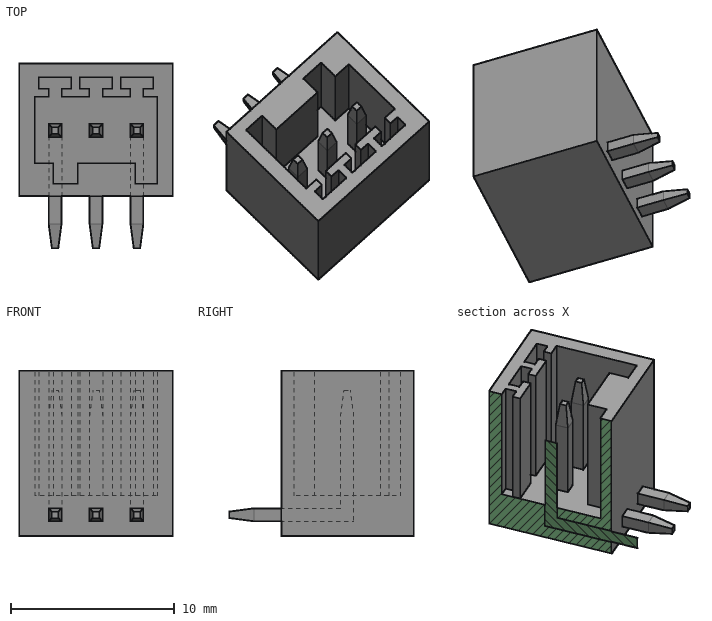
import cadquery as cq

housing_width = 9.4
housing_depth = 8.1
housing_height = 10.1
housing_front_y = -4.0
housing_back_y = housing_front_y + housing_depth
floor_height = 2.5

socket_width = 7.5
socket_front_y = housing_back_y - 6.1
socket_back_y = housing_back_y - 2.05

keyway_front_y = housing_back_y - 7.35
left_keyway_start_x = -2.6
left_keyway_end_x = -1.1
right_keyway_start_x = 2.4
right_keyway_end_x = socket_width / 2

slot_width = 2.0
slot_neck_width = 0.8
slot_back_y = housing_back_y - 0.85
slot_shoulder_y = housing_back_y - 1.55

pin_pitch = 2.5
pin_size = 0.8
pin_tip_size = 0.4
pin_taper_length = 1.5
tail_length = 3.2
tail_height = 1.3
contact_tip_height = 8.9

centre_pin_x = 0
outer_pin_xs = [-pin_pitch, pin_pitch]
pin_xs = [-pin_pitch, centre_pin_x, pin_pitch]


def recess(start_x, end_x, start_y, end_y):
    """Rectangular recess reaching from the socket floor to the top of the housing."""
    return (
        cq.Workplane("XY", origin=(start_x, start_y, floor_height))
        .box(end_x - start_x, end_y - start_y, housing_height - floor_height, centered=False)
    )


def t_slot(x):
    """Narrow neck opening from the socket into a wider chamber behind it."""
    neck = recess(x - slot_neck_width / 2, x + slot_neck_width / 2, socket_back_y, slot_shoulder_y)
    chamber = recess(x - slot_width / 2, x + slot_width / 2, slot_shoulder_y, slot_back_y)
    return neck.union(chamber)


def pin_leg(plane, straight_length):
    """Square bar along the plane normal, ending in a tapered tip."""
    bar = cq.Workplane(plane).rect(pin_size, pin_size).extrude(straight_length)
    tip = (
        cq.Workplane(plane)
        .workplane(offset=straight_length)
        .rect(pin_size, pin_size)
        .workplane(offset=pin_taper_length)
        .rect(pin_tip_size, pin_tip_size)
        .loft(combine=True)
    )
    return bar.union(tip)


def make_pin(x):
    """Contact standing in the socket, bent forward into a tail that leaves the front wall."""
    bend_bottom_z = tail_height - pin_size / 2
    bend_back_y = pin_size / 2
    contact_straight = contact_tip_height - pin_taper_length - bend_bottom_z
    tail_straight = bend_back_y - housing_front_y + tail_length - pin_taper_length
    contact_plane = cq.Plane(origin=(x, 0, bend_bottom_z), normal=(0, 0, 1))
    tail_plane = cq.Plane(origin=(x, bend_back_y, tail_height), xDir=(1, 0, 0), normal=(0, -1, 0))
    contact = pin_leg(contact_plane, contact_straight)
    tail = pin_leg(tail_plane, tail_straight)
    return contact.union(tail)


def make_housing():
    """Block with its keyed socket, the centre pin and fitted passages for the outer pins."""
    body = (
        cq.Workplane("XY", origin=(-housing_width / 2, housing_front_y, 0))
        .box(housing_width, housing_depth, housing_height, centered=False)
    )
    body = body.cut(recess(-socket_width / 2, socket_width / 2, socket_front_y, socket_back_y))
    body = body.cut(recess(left_keyway_start_x, left_keyway_end_x, keyway_front_y, socket_front_y))
    body = body.cut(recess(right_keyway_start_x, right_keyway_end_x, keyway_front_y, socket_front_y))
    for x in pin_xs:
        body = body.cut(t_slot(x))
    for x in outer_pin_xs:
        body = body.cut(make_pin(x))
    return body.union(make_pin(centre_pin_x))


housing = make_housing()
outer_pins = [make_pin(x) for x in outer_pin_xs]

result = cq.Compound.makeCompound([housing.val(), *[pin.val() for pin in outer_pins]])